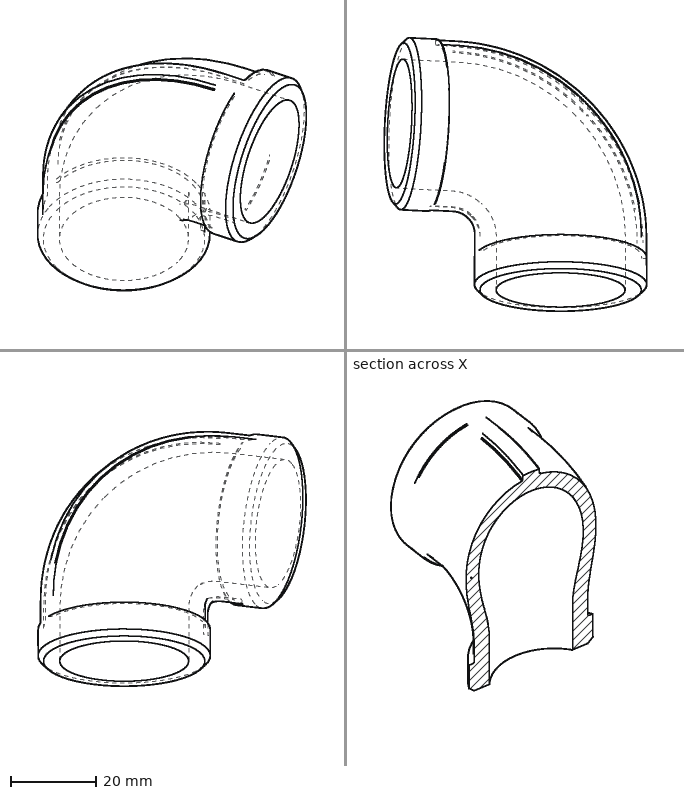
import cadquery as cq

collar_diameter = 40.5
pipe_diameter = 38.0
bore_diameter = 30.29
centre_to_end = 38.5
inner_bend_radius = 5.0
collar_length = 8.0
mouth_chamfer = 1.3
rib_width = 5.0
step_fillet = 0.25
tolerance = 1e-3

bend_radius = inner_bend_radius + collar_diameter / 2
straight_length = centre_to_end - bend_radius
collar_face = centre_to_end - collar_length


def swept_elbow(diameter):
    """Round bar along the elbow axis, from the -Z mouth to the +X mouth."""
    radius = diameter / 2
    lower_leg = cq.Workplane("XY", origin=(0, 0, -centre_to_end)).circle(radius).extrude(straight_length)
    bend = (
        cq.Workplane("XY", origin=(0, 0, -bend_radius))
        .circle(radius)
        .revolve(90, (bend_radius, 0, 0), (bend_radius, 1, 0))
    )
    upper_leg = cq.Workplane("YZ", origin=(bend_radius, 0, 0)).circle(radius).extrude(straight_length)
    return lower_leg.union(bend).union(upper_leg)


def side_recess(side):
    """Block clearing everything between the collars on one side (+1 or -1 in Y) of the rib."""
    reach = 2 * centre_to_end
    return (
        cq.Workplane("XY", origin=(collar_face, side * rib_width / 2, -collar_face))
        .rect(-reach, side * reach, centered=False)
        .extrude(reach)
    )


def is_step_edge(edge):
    """True for edges of the flat walls at the rib sides and the collar inner ends."""
    box = edge.BoundingBox()
    on_rib_side = box.ylen < tolerance and abs(abs(box.center.y) - rib_width / 2) < tolerance
    on_lower_collar = box.zlen < tolerance and abs(box.center.z + collar_face) < tolerance
    on_upper_collar = box.xlen < tolerance and abs(box.center.x - collar_face) < tolerance
    return on_rib_side or on_lower_collar or on_upper_collar


raised = swept_elbow(collar_diameter).cut(side_recess(1)).cut(side_recess(-1))
body = swept_elbow(pipe_diameter).union(raised)
body = body.edges().filter(is_step_edge).fillet(step_fillet)
body = body.faces(">X or <Z").edges().chamfer(mouth_chamfer)

result = body.cut(swept_elbow(bore_diameter))